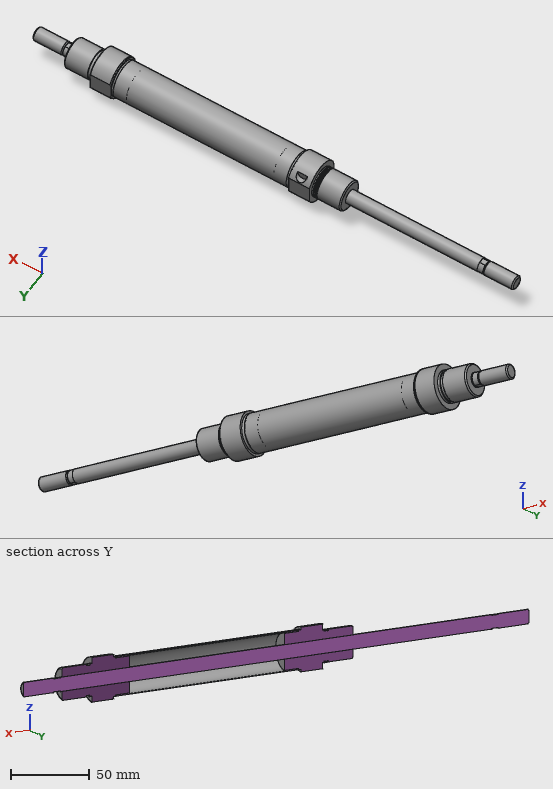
import cadquery as cq

stroke = 100.0
short_rod_length = 28.0
long_rod_length = short_rod_length + stroke
neck_length = 22.0
collar_length = 16.0
plug_length = 10.0
body_length = 168.0
front_head_start = long_rod_length
body_start = front_head_start + neck_length
body_end = body_start + body_length
rear_head_end = body_end + neck_length
total_length = rear_head_end + short_rod_length

tube_radius = 13.3
bore_radius = 12.5

collar_radius = 15.0
flat_offset = 13.5
neck_radius = 11.0
neck_chamfer = 0.9
groove_radius = 10.1

front_shoulder_length = 2.0
front_groove_width = 1.0
front_groove_starts = (18.0, 20.0)

rear_shoulder_length = 1.3
rear_groove_width = 2.2
rear_groove_starts = (18.1,)
lip_length = 0.9
lip_drop = 0.3

pocket_radius = 3.7
pocket_height = 11.0
pocket_floor = 9.3

rod_radius = 5.0
rod_chamfer = 0.9
thread_length = 22.0
thread_taper_length = 1.0
thread_end_radius = 4.3
wrench_radius = 4.9
wrench_flat_length = 4.2
across_wrench_flats = 9.0


def revolve_profile(points):
    """Revolve an outline of (x, radius) points about the X axis."""
    return cq.Workplane("XZ").polyline(points).close().revolve(360, (0, 0, 0), (1, 0, 0))


def make_wrench_flat_cutters(start):
    """Two blocks that leave flats facing +Z and -Z on the rod."""
    block_height = rod_radius
    block_offset = (across_wrench_flats + block_height) / 2
    return (
        cq.Workplane("YZ", origin=(start, 0, 0))
        .pushPoints([(0, block_offset), (0, -block_offset)])
        .rect(2 * rod_radius, block_height)
        .extrude(wrench_flat_length)
    )


def make_rod():
    """Through rod with the same threaded end and wrench flats on both sides."""
    wrench_start = thread_length + thread_taper_length
    wrench_end = wrench_start + wrench_flat_length
    left_outline = [
        (0, 0),
        (0, rod_radius - rod_chamfer),
        (rod_chamfer, rod_radius),
        (thread_length, rod_radius),
        (wrench_start, thread_end_radius),
        (wrench_start, wrench_radius),
        (wrench_end, wrench_radius),
        (wrench_end, rod_radius),
    ]
    right_outline = [(total_length - x, radius) for x, radius in reversed(left_outline)]
    rod = revolve_profile(left_outline + right_outline)
    for flats_start in (wrench_start, total_length - wrench_end):
        rod = rod.cut(make_wrench_flat_cutters(flats_start))
    return rod


def make_ring(start, length, outer_radius, inner_radius):
    """Ring around the X axis."""
    return (
        cq.Workplane("YZ", origin=(start, 0, 0))
        .circle(outer_radius)
        .circle(inner_radius)
        .extrude(length)
    )


def make_head(shoulder_length, groove_starts, groove_width):
    """Head with its neck end at X = 0 and its tube plug toward +X, bored for the rod."""
    collar_end = neck_length + collar_length
    shoulder_end = collar_end + shoulder_length
    plug_end = shoulder_end + plug_length
    head = revolve_profile([
        (0, rod_radius),
        (0, neck_radius - neck_chamfer),
        (neck_chamfer, neck_radius),
        (neck_length, neck_radius),
        (neck_length, collar_radius),
        (collar_end, collar_radius),
        (collar_end, tube_radius),
        (shoulder_end, tube_radius),
        (shoulder_end, bore_radius),
        (plug_end, bore_radius),
        (plug_end, rod_radius),
    ])
    for start in groove_starts:
        head = head.cut(make_ring(start, groove_width, collar_radius, groove_radius))
    beyond_flat = cq.Workplane("XY").box(
        collar_length, collar_radius, 2 * collar_radius, centered=(False, False, True)
    )
    return head.cut(beyond_flat.translate((neck_length, flat_offset, 0)))


def make_front_head():
    """Front head with a round pocket along Y that breaks out of the top of its collar."""
    head = make_head(front_shoulder_length, front_groove_starts, front_groove_width)
    collar_middle = neck_length + collar_length / 2
    pocket = (
        cq.Workplane("XZ", origin=(collar_middle, collar_radius, pocket_height))
        .circle(pocket_radius)
        .extrude(collar_radius - pocket_floor)
    )
    return head.cut(pocket).translate((front_head_start, 0, 0))


def make_rear_head():
    """Rear head, facing the other way, with a lip turned on the tube side of its collar."""
    head = make_head(rear_shoulder_length, rear_groove_starts, rear_groove_width)
    lip_start = neck_length + collar_length - lip_length
    lip_cutter = make_ring(lip_start, lip_length, 2 * collar_radius, collar_radius - lip_drop)
    return head.cut(lip_cutter).mirror("YZ").translate((rear_head_end, 0, 0))


def make_tube():
    """Cylinder tube between the shoulders of the two heads, over their plugs."""
    tube_start = body_start + collar_length + front_shoulder_length
    tube_end = body_end - collar_length - rear_shoulder_length
    return make_ring(tube_start, tube_end - tube_start, tube_radius, bore_radius)


rod = make_rod()
front_head = make_front_head()
rear_head = make_rear_head()
tube = make_tube()

bodies = [rod, front_head, rear_head, tube]
result = cq.Compound.makeCompound([body.solids().val() for body in bodies])